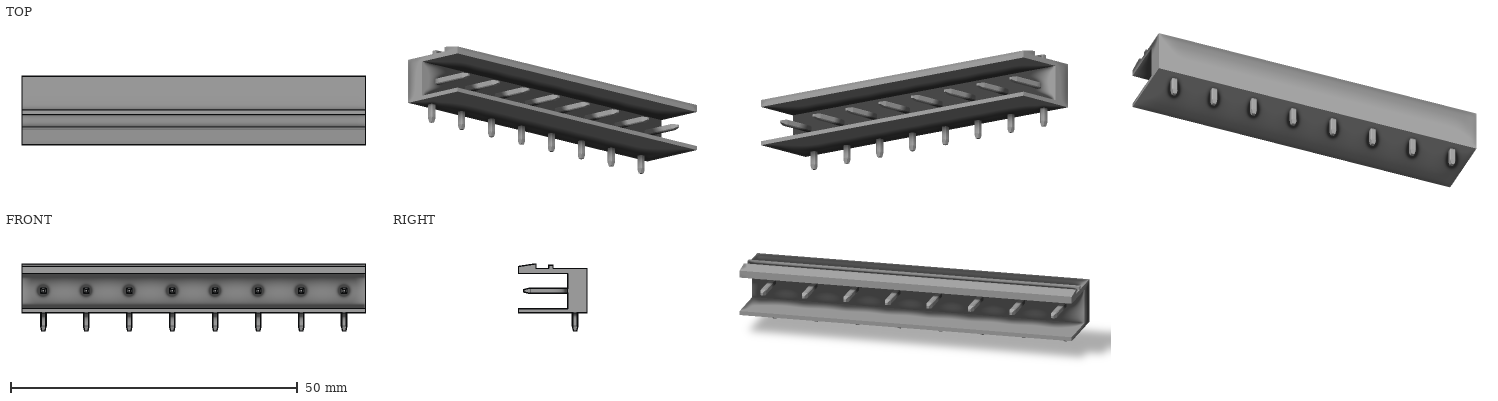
import cadquery as cq
length = 60.0
depth = 12.0
housing_height = 7.75
back_wall = 3.4
floor_thickness = 0.7
roof_thickness = 0.9

rib_front_distance = 5.3
rib_width = 0.8
rib_height = 0.6
rib_fillet = 0.1

latch_depth = 3.1
latch_flat = 0.35
latch_height = 0.8
latch_front_height = 0.35

pin_count = 8
pin_pitch = length / pin_count
pin_width = 1.0
pin_chamfer = 0.15
leg_distance = 2.1
contact_height = 3.85
contact_reach = 11.1
contact_tip_length = 1.2
contact_tip_width = 0.4
leg_reach = 3.2
leg_tip_length = 0.9
leg_tip_width = 0.6


def make_housing_body():
    """C-shaped channel with the latch at the front of its roof."""
    latch_back = latch_depth - depth
    return (
        cq.Workplane("YZ")
        .moveTo(0, 0)
        .lineTo(-depth, 0)
        .lineTo(-depth, floor_thickness)
        .lineTo(-back_wall, floor_thickness)
        .lineTo(-back_wall, housing_height - roof_thickness)
        .lineTo(-depth, housing_height - roof_thickness)
        .lineTo(-depth, housing_height + latch_front_height)
        .lineTo(latch_back - latch_flat, housing_height + latch_height)
        .lineTo(latch_back, housing_height + latch_height)
        .lineTo(latch_back, housing_height)
        .lineTo(0, housing_height)
        .close()
        .extrude(length / 2, both=True)
    )


def make_rib():
    """Rib running the full length of the roof, with concave fillets at its foot."""
    front = rib_front_distance - depth
    back = front + rib_width
    top = housing_height + rib_height
    fillet_top = housing_height + rib_fillet
    return (
        cq.Workplane("YZ")
        .moveTo(front - rib_fillet, housing_height)
        .radiusArc((front, fillet_top), -rib_fillet)
        .lineTo(front, top)
        .lineTo(back, top)
        .lineTo(back, fillet_top)
        .radiusArc((back + rib_fillet, housing_height), -rib_fillet)
        .close()
        .extrude(length / 2, both=True)
    )


def make_bar(bar_length, tip_length, tip_width):
    """Chamfered square bar along +Z from the origin, tapered at its far end."""
    shank_length = bar_length - tip_length
    bar = (
        cq.Workplane("XY")
        .rect(pin_width, pin_width)
        .extrude(bar_length)
        .edges("|Z")
        .chamfer(pin_chamfer)
    )
    shank = cq.Workplane("XY").rect(pin_width, pin_width).extrude(shank_length)
    tip = (
        cq.Workplane("XY")
        .workplane(offset=shank_length)
        .rect(pin_width, pin_width)
        .workplane(offset=tip_length)
        .rect(tip_width, tip_width)
        .loft(combine=True)
    )
    return bar.intersect(shank.union(tip))


def make_pin(x):
    """Right-angle pin with its contact toward -Y and its leg toward -Z."""
    overrun = pin_width / 2
    contact = (
        make_bar(contact_reach - leg_distance + overrun, contact_tip_length, contact_tip_width)
        .rotate((0, 0, 0), (1, 0, 0), 90)
        .translate((x, overrun - leg_distance, contact_height))
    )
    leg = (
        make_bar(contact_height + leg_reach + overrun, leg_tip_length, leg_tip_width)
        .rotate((0, 0, 0), (1, 0, 0), 180)
        .translate((x, -leg_distance, contact_height + overrun))
    )
    return contact.union(leg)


pins = [make_pin((i - (pin_count - 1) / 2) * pin_pitch) for i in range(pin_count)]

housing = make_housing_body().union(make_rib())
for pin in pins:
    housing = housing.cut(pin)

result = cq.Compound.makeCompound([housing.val(), *[pin.val() for pin in pins]])